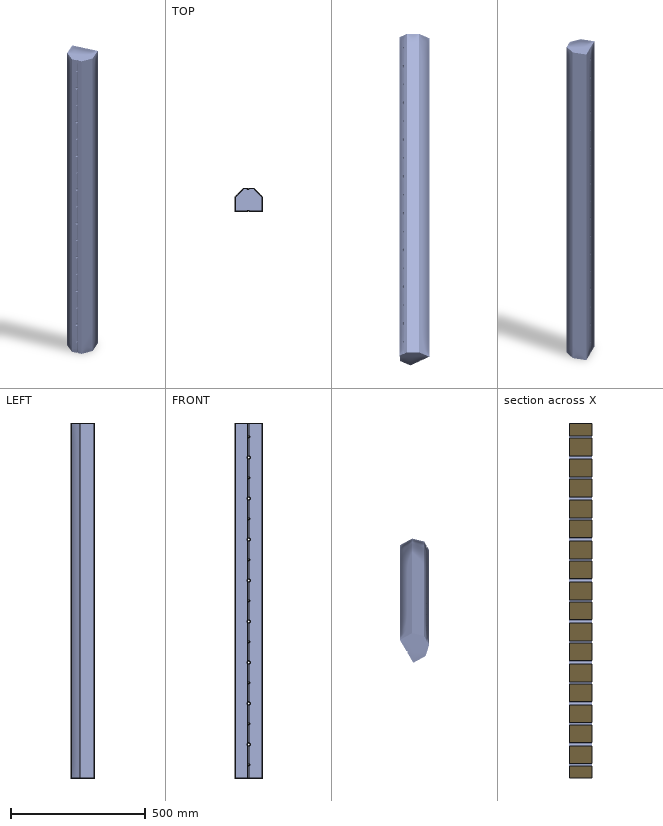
import cadquery as cq

length = 1321.0
width = 102.0
depth = 86.0
back_width = 38.0
side_depth = 53.0

groove_width = 5.0
groove_depth = 3.0

hole_count = 17
end_margin = 50.0
large_hole_diameter = 10.0
small_hole_diameter = 7.0

half_width = width / 2
half_back = back_width / 2
front_y = -depth / 2
back_y = depth / 2
shoulder_y = front_y + side_depth
lowest_hole_z = -length / 2 + end_margin
hole_pitch = (length - 2 * end_margin) / (hole_count - 1)


def bar():
    """Upright bar, square at the front and narrowing to a flat back."""
    outline = [
        (-half_width, front_y),
        (half_width, front_y),
        (half_width, shoulder_y),
        (half_back, back_y),
        (-half_back, back_y),
        (-half_width, shoulder_y),
    ]
    return cq.Workplane("XY", origin=(0, 0, -length / 2)).polyline(outline).close().extrude(length)


def groove(face_y):
    """Full-length groove in the face at face_y, with one wall on the middle plane."""
    cutter = cq.Workplane("XY").box(groove_width, 2 * groove_depth, length)
    return cutter.translate((-groove_width / 2, face_y, 0))


def hole(z, diameter):
    """Round hole from the front face through to the back face."""
    return cq.Workplane("XZ", origin=(0, front_y, z)).circle(diameter / 2).extrude(-depth)


result = bar().cut(groove(front_y)).cut(groove(back_y))

for index in range(hole_count):
    is_large = index % 2 == 1
    diameter = large_hole_diameter if is_large else small_hole_diameter
    result = result.cut(hole(lowest_hole_z + index * hole_pitch, diameter))